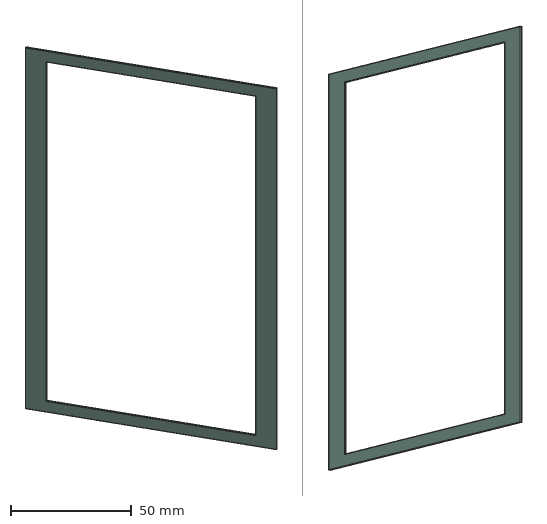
import cadquery as cq

height = 170.0
width = 110.0
thickness = 1.0
opening_width = 92.0
opening_height = 160.0

plate = cq.Workplane("XY").box(width, thickness, height)
opening = cq.Workplane("XY").box(opening_width, thickness, opening_height)

result = plate.cut(opening)